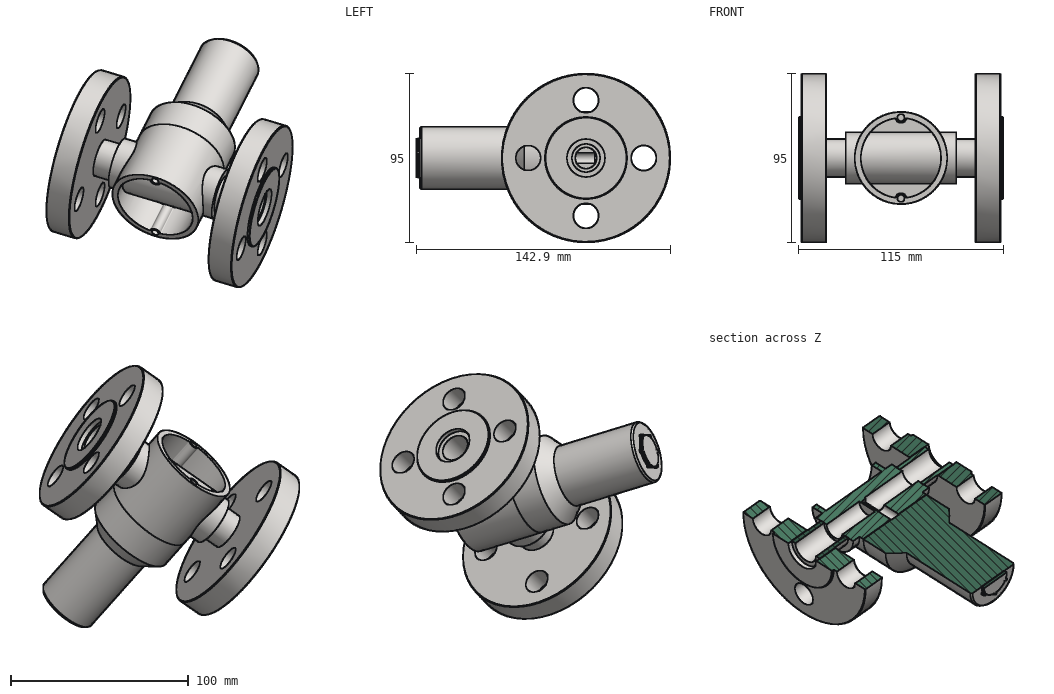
import cadquery as cq


overall_length = 115.0
overall_depth = 142.9
flange_diameter = 95.0
flange_thickness = 14.1
flange_chamfer = 0.5
raised_face_diameter = 46.3
raised_face_height = 1.5
raised_face_chamfer = 0.5
bolt_circle_diameter = 65.0
bolt_hole_diameter = 14.0
bolt_hole_count = 4
flange_outer_x = overall_length / 2
flange_inner_x = flange_outer_x - raised_face_height - flange_thickness

pipe_diameter = 21.5
pipe_bore_diameter = 15.9
pipe_recess = 2.9
pipe_outer_x = flange_outer_x - pipe_recess

housing_diameter = 52.0
housing_front_y = -22.0
housing_back_y = 17.6
tube_diameter = 29.0
tube_half_length = 31.2
chamber_diameter = 45.2
chamber_back_y = -1.5
screw_boss_diameter = 6.0
screw_boss_fillet = 0.6
screw_hole_diameter = 4.0
screw_hole_depth = 14.3
screw_offset = 22.7
port_diameter = 12.0
inlet_end_x = 0.0
outlet_wall = 1.5
cross_bore_diameter = 6.0
cross_bore_front_y = -5.0
outlet_start_x = cross_bore_diameter / 2 + outlet_wall

bonnet_neck_diameter = 35.5
bonnet_shoulder_y = 34.9
bonnet_neck_y = bonnet_shoulder_y + (housing_diameter - bonnet_neck_diameter) / 2
bonnet_end_chamfer_length = 1.1
bonnet_end_chamfer_width = 0.9

knob_root_diameter = 19.1
knob_tip_diameter = 22.0
knob_rib_radius = 1.1
knob_rib_count = 6
knob_height = 1.9
knob_chamfer_height = 0.9
knob_chamfer_width = 0.3
knob_end_y = overall_depth - flange_diameter / 2
bonnet_end_y = knob_end_y - knob_height


def cylinder_x(diameter, start_x, end_x):
    """Cylinder on the flow axis."""
    return cq.Workplane("YZ", origin=(start_x, 0, 0)).circle(diameter / 2).extrude(end_x - start_x)


def cylinder_y(diameter, start_y, end_y, z=0.0):
    """Cylinder parallel to the bonnet axis, at a height z."""
    return cq.Workplane("XZ", origin=(0, start_y, z)).circle(diameter / 2).extrude(start_y - end_y)


def make_flange():
    """Flange at the +X end."""
    raised_face_x = flange_outer_x - raised_face_height
    disc = cylinder_x(flange_diameter, flange_inner_x, raised_face_x).edges().chamfer(flange_chamfer)
    raised_face = cylinder_x(raised_face_diameter, raised_face_x, flange_outer_x)
    raised_face = raised_face.faces(">X").edges().chamfer(raised_face_chamfer)
    bolt_holes = (
        cq.Workplane("YZ", origin=(flange_inner_x, 0, 0))
        .polarArray(bolt_circle_diameter / 2, 0, 360, bolt_hole_count)
        .circle(bolt_hole_diameter / 2)
        .extrude(flange_thickness)
    )
    pipe_hole = cylinder_x(pipe_diameter, flange_inner_x, flange_outer_x)
    return disc.union(raised_face).cut(bolt_holes).cut(pipe_hole)


def make_pipe():
    """Pipe between the housing and the +X flange."""
    outside = cylinder_x(pipe_diameter, tube_half_length, pipe_outer_x)
    return outside.cut(cylinder_x(pipe_bore_diameter, tube_half_length, pipe_outer_x))


def add_screw_bosses(housing):
    """Add the two blended screw bosses and their blind holes along the chamber wall."""
    for z in (-screw_offset, screw_offset):
        housing = housing.union(cylinder_y(screw_boss_diameter, housing_front_y, chamber_back_y, z))
    box_half_height = screw_offset + screw_boss_diameter / 2
    boss_roots = cq.selectors.BoxSelector(
        (-screw_boss_diameter, housing_front_y, -box_half_height),
        (screw_boss_diameter, chamber_back_y, box_half_height),
    )
    housing = housing.edges("|Y").edges(boss_roots).fillet(screw_boss_fillet)
    screw_hole_end_y = housing_front_y + screw_hole_depth
    for z in (-screw_offset, screw_offset):
        housing = housing.cut(cylinder_y(screw_hole_diameter, housing_front_y, screw_hole_end_y, z))
    return housing


def cut_flow_passages(housing):
    """Cut the inlet on -X, the blind outlet on +X and the cross bore the inlet opens into."""
    inlet = cylinder_x(port_diameter, -tube_half_length, inlet_end_x)
    outlet = cylinder_x(port_diameter, outlet_start_x, tube_half_length)
    cross_bore = cylinder_y(cross_bore_diameter, cross_bore_front_y, housing_back_y)
    return housing.cut(inlet).cut(outlet).cut(cross_bore)


def make_housing():
    """Cup with a flow tube across its floor, screw bosses and flow passages."""
    barrel = cylinder_y(housing_diameter, housing_front_y, housing_back_y)
    cup = barrel.cut(cylinder_y(chamber_diameter, housing_front_y, chamber_back_y))
    housing = cup.union(cylinder_x(tube_diameter, -tube_half_length, tube_half_length))
    return cut_flow_passages(add_screw_bosses(housing))


def make_bonnet():
    """Turned cover that narrows through a cone to its neck."""
    neck_radius = bonnet_neck_diameter / 2
    return (
        cq.Workplane("XY")
        .moveTo(0, housing_back_y)
        .lineTo(housing_diameter / 2, housing_back_y)
        .lineTo(housing_diameter / 2, bonnet_shoulder_y)
        .lineTo(neck_radius, bonnet_neck_y)
        .lineTo(neck_radius, bonnet_end_y - bonnet_end_chamfer_length)
        .lineTo(neck_radius - bonnet_end_chamfer_width, bonnet_end_y)
        .lineTo(0, bonnet_end_y)
        .close()
        .revolve(360, (0, 0, 0), (0, 1, 0))
    )


def bevelled_disc(diameter):
    """Disc on the bonnet end with a bevelled outer rim."""
    radius = diameter / 2
    return (
        cq.Workplane("XY")
        .moveTo(0, bonnet_end_y)
        .lineTo(radius, bonnet_end_y)
        .lineTo(radius, knob_end_y - knob_chamfer_height)
        .lineTo(radius - knob_chamfer_width, knob_end_y)
        .lineTo(0, knob_end_y)
        .close()
        .revolve(360, (0, 0, 0), (0, 1, 0))
    )


def make_knob():
    """Round knob with rounded grip ribs, two of them on the Z axis."""
    knob = bevelled_disc(knob_root_diameter)
    rib_centre_radius = knob_tip_diameter / 2 - knob_rib_radius
    rib = bevelled_disc(2 * knob_rib_radius).translate((0, 0, rib_centre_radius))
    for index in range(knob_rib_count):
        angle = index * 360 / knob_rib_count
        knob = knob.union(rib.rotate((0, 0, 0), (0, 1, 0), angle))
    return knob


housing = make_housing()
bonnet = make_bonnet()
knob = make_knob()
flanges = []
pipes = []
for turn in (0, 180):
    flanges.append(make_flange().rotate((0, 0, 0), (0, 0, 1), turn).val())
    pipes.append(make_pipe().rotate((0, 0, 0), (0, 0, 1), turn).val())

result = cq.Compound.makeCompound([housing.val(), bonnet.val(), knob.val(), *flanges, *pipes])